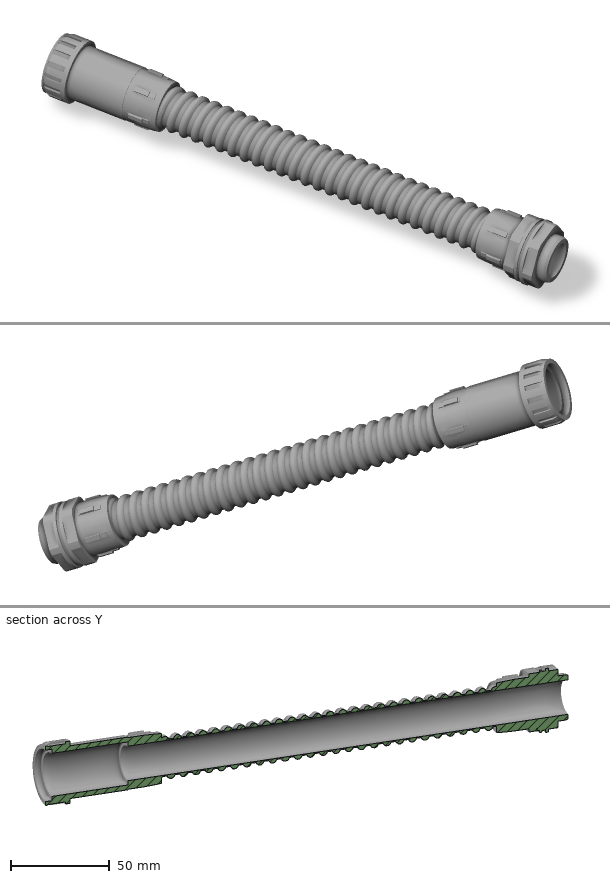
import cadquery as cq
import math

total_length = 288.7
outer_diameter = 35.0

hose_bore_radius = 9.2
socket_bore_radius = 11.5
mouth_recess_radius = 14.0
mouth_recess_depth = 3.5

body_radius = 14.5
body_end = 45.3

collar_length = 13.5
collar_radius = 17.0
collar_rim_radius = 16.2
collar_rim_length = 1.2
collar_ramp_end = 3.5
grip_count = 16
grip_groove_width = 2.5
grip_groove_floor = 16.0
grip_groove_end = 11.0

sleeve_radius = 14.1
sleeve_mouth_radius = 13.5
sleeve_length = 18.8
sleeve_taper_length = 9.8
sleeve_taper_bulge = 0.15

lug_count = 6
lug_width = 2.5
lug_low_radius = 14.5
lug_high_radius = 15.3
lug_start = 3.5
lug_length = 12.0
lug_high_start = 7.0
lug_high_length = 7.8

hose_start = body_end + sleeve_length
hose_length = 184.8
hose_end = hose_start + hose_length
hose_root_radius = 10.0
rib_radius = 11.8
rib_base_width = 4.5
rib_root_overlap = 0.3
rib_turns = 26
rib_start = 65.8
rib_span = 182.5
rib_pitch = rib_span / rib_turns
hidden_turns = 1

clamp_nut_start = 266.8
clamp_nut_end = 272.5
clamp_nut_corner_radius = 17.3
washer_end = 274.3
washer_radius = 17.0
gap_end = 276.0
gap_radius = 16.2
flange_end = 277.7
flange_radius = outer_diameter / 2
lock_nut_end = 283.2
nut_flat_distance = 16.0
spigot_radius = 12.5
spigot_tip_radius = 11.8
spigot_taper_length = 1.5


def cylinder(start, end, radius):
    return cq.Workplane("YZ", origin=(start, 0, 0)).circle(radius).extrude(end - start)


def block_on_radius(start, length, inner, outer, width, angle):
    """Block spanning two radii, turned about X by an angle measured from +Y."""
    block = cq.Workplane("XY").box(length, outer - inner, width, centered=(False, False, True))
    return block.translate((start, inner, 0)).rotate((0, 0, 0), (1, 0, 0), angle)


def make_collar():
    collar = (
        cq.Workplane("XY")
        .lineTo(0, collar_rim_radius)
        .lineTo(collar_rim_length, collar_rim_radius)
        .lineTo(collar_ramp_end, collar_radius)
        .lineTo(collar_length, collar_radius)
        .lineTo(collar_length, 0)
        .close()
        .revolve(360, (0, 0, 0), (1, 0, 0))
    )
    groove_length = grip_groove_end - collar_rim_length
    groove_top = collar_radius + grip_groove_width
    for i in range(grip_count):
        collar = collar.cut(
            block_on_radius(
                collar_rim_length,
                groove_length,
                grip_groove_floor,
                groove_top,
                grip_groove_width,
                i * 360 / grip_count,
            )
        )
    return collar


def make_sleeve():
    """Sleeve with its mouth at X = 0, widening towards +X."""
    middle_radius = (sleeve_radius + sleeve_mouth_radius) / 2 + sleeve_taper_bulge
    middle = (sleeve_taper_length / 2, middle_radius)
    sleeve = (
        cq.Workplane("XY")
        .lineTo(0, sleeve_mouth_radius)
        .threePointArc(middle, (sleeve_taper_length, sleeve_radius))
        .lineTo(sleeve_length, sleeve_radius)
        .lineTo(sleeve_length, 0)
        .close()
        .revolve(360, (0, 0, 0), (1, 0, 0))
    )
    for i in range(lug_count):
        angle = i * 360 / lug_count
        low = block_on_radius(
            lug_start, lug_length, hose_root_radius, lug_low_radius, lug_width, angle)
        high = block_on_radius(
            lug_high_start, lug_high_length, hose_root_radius, lug_high_radius, lug_width, angle)
        sleeve = sleeve.union(low).union(high)
    return sleeve


def make_rib():
    """Helical rib with a rounded crest; its ends are buried in the sleeves."""
    inner = hose_root_radius - rib_root_overlap
    helix_length = (rib_turns + 2 * hidden_turns) * rib_pitch
    helix = cq.Wire.makeHelix(rib_pitch, helix_length, hose_root_radius, lefthand=True)
    rib = (
        cq.Workplane("XZ")
        .moveTo(inner, -rib_base_width / 2)
        .threePointArc((rib_radius, 0), (inner, rib_base_width / 2))
        .close()
        .sweep(cq.Workplane(helix), isFrenet=True)
    )
    rib = rib.rotate((0, 0, 0), (0, 1, 0), 90).rotate((0, 0, 0), (1, 0, 0), 180)
    return rib.translate((rib_start - hidden_turns * rib_pitch, 0, 0))


def make_nut(start, end, corner_radius):
    """Round-cornered hexagon nut with flats facing +Z and -Z."""
    across_corners = 2 * nut_flat_distance / math.cos(math.pi / 6)
    hexagon = cq.Workplane("YZ", origin=(start, 0, 0)).polygon(6, across_corners).extrude(end - start)
    return hexagon.intersect(cylinder(start, end, corner_radius))


def make_gland():
    gland = make_nut(clamp_nut_start, clamp_nut_end, clamp_nut_corner_radius)
    gland = gland.union(cylinder(clamp_nut_end, washer_end, washer_radius))
    gland = gland.union(cylinder(washer_end, gap_end, gap_radius))
    gland = gland.union(cylinder(gap_end, flange_end, flange_radius))
    gland = gland.union(make_nut(flange_end, lock_nut_end, flange_radius))
    spigot = cylinder(lock_nut_end, total_length, spigot_radius)
    spigot = spigot.faces(">X").chamfer(spigot_taper_length, spigot_radius - spigot_tip_radius)
    return gland.union(spigot)


left_sleeve = make_sleeve().mirror("YZ").translate((hose_start, 0, 0))
right_sleeve = make_sleeve().translate((hose_end, 0, 0))

hose = cylinder(body_end, clamp_nut_start, hose_root_radius).union(make_rib())

result = cylinder(0, body_end, body_radius)
result = result.union(make_collar())
result = result.union(left_sleeve)
result = result.union(right_sleeve)
result = result.union(make_gland())
result = result.union(hose)
result = result.cut(cylinder(0, total_length, hose_bore_radius))
result = result.cut(cylinder(0, body_end, socket_bore_radius))
result = result.cut(cylinder(0, mouth_recess_depth, mouth_recess_radius))